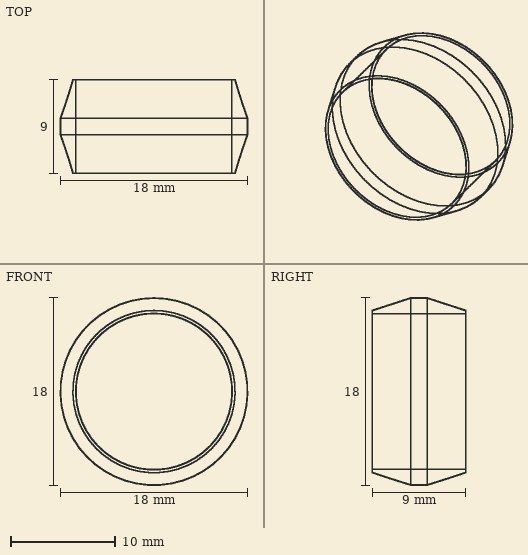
import cadquery as cq
import math

outer_diameter = 18.0
bore_diameter = 15.0
length = 9.0
band_width = 1.6
cone_half_angle = 18.0

outer_radius = outer_diameter / 2
bore_radius = bore_diameter / 2
half_length = length / 2
half_band = band_width / 2
cone_length = half_length - half_band
end_radius = outer_radius - cone_length * math.tan(math.radians(cone_half_angle))


def double_cone_ring():
    """Revolve the half section: a cylindrical band between two mirrored cones, with a plain bore."""
    section = (
        cq.Workplane("YZ")
        .moveTo(-half_length, bore_radius)
        .lineTo(-half_length, end_radius)
        .lineTo(-half_band, outer_radius)
        .lineTo(half_band, outer_radius)
        .lineTo(half_length, end_radius)
        .lineTo(half_length, bore_radius)
        .close()
    )
    return section.revolve(360, (0, 0, 0), (1, 0, 0))


result = double_cone_ring()